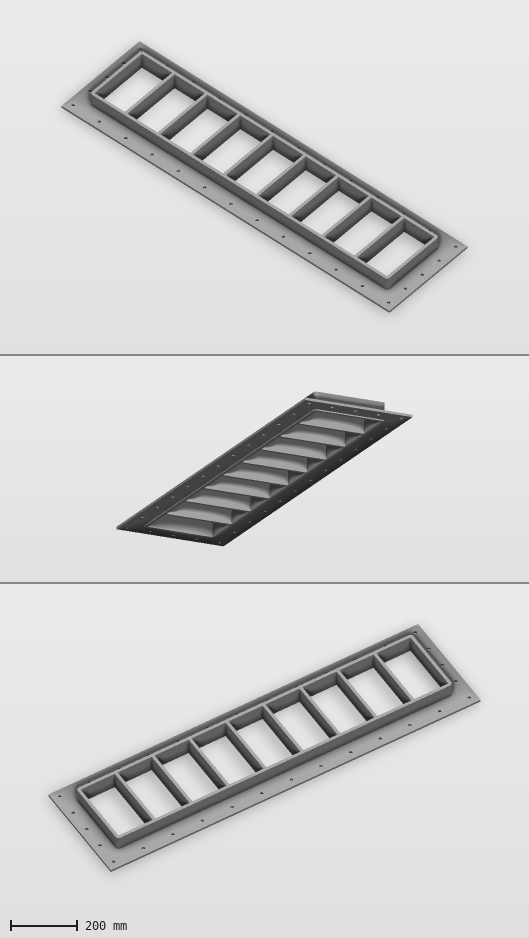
import cadquery as cq

flange_length = 1305.0
flange_width = 357.0
flange_thickness = 8.0

frame_margin = 60.0
frame_length = flange_length - 2 * frame_margin
frame_width = flange_width - 2 * frame_margin
frame_height = 60.0
frame_below_flange = 4.0
frame_corner_radius = 10.0
wall = 10.0

opening_count = 9
opening_pitch = (frame_length - wall) / opening_count
opening_length = opening_pitch - wall
opening_width = frame_width - 2 * wall

hole_diameter = 10.0
hole_edge_distance = 25.0
holes_along_length = 13
holes_along_width = 5
hole_pitch_x = (flange_length - 2 * hole_edge_distance) / (holes_along_length - 1)
hole_pitch_y = (flange_width - 2 * hole_edge_distance) / (holes_along_width - 1)


def border_hole_centers():
    """Hole centers of a grid, keeping only its outermost rows and columns."""
    last_column = holes_along_length - 1
    last_row = holes_along_width - 1
    return [
        ((column - last_column / 2) * hole_pitch_x, (row - last_row / 2) * hole_pitch_y)
        for column in range(holes_along_length)
        for row in range(holes_along_width)
        if column in (0, last_column) or row in (0, last_row)
    ]


def make_flange():
    return (
        cq.Workplane("XY", origin=(0, 0, frame_below_flange))
        .rect(flange_length, flange_width)
        .extrude(flange_thickness)
        .faces(">Z")
        .workplane()
        .pushPoints(border_hole_centers())
        .hole(hole_diameter)
    )


def make_frame():
    return (
        cq.Workplane("XY")
        .rect(frame_length, frame_width)
        .extrude(frame_height)
        .edges("|Z")
        .fillet(frame_corner_radius)
    )


def make_openings():
    return (
        cq.Workplane("XY")
        .rarray(opening_pitch, 13, opening_count, 1)
        .rect(opening_length, opening_width)
        .extrude(frame_height)
    )


result = make_flange().union(make_frame()).cut(make_openings())